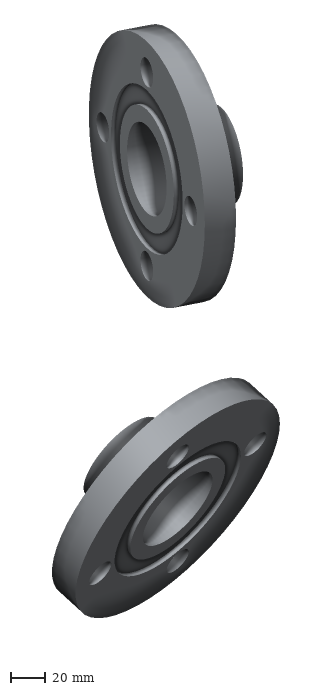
import cadquery as cq

flange_diameter = 165.0
flange_thickness = 20.0
overall_length = 48.0
bore_diameter = 56.3

neck_diameter = 60.4
neck_straight_length = 8.0
hub_base_diameter = 75.0
hub_fillet_radius = 6.0

bolt_hole_count = 4
bolt_hole_diameter = 18.0
bolt_circle_diameter = 125.0

groove_outer_diameter = 102.0
groove_inner_diameter = 76.7
groove_depth = 3.0


def make_body():
    """Revolve the solid flange and neck about the Y axis."""
    taper_end = overall_length - neck_straight_length
    profile = (
        cq.Workplane("XY")
        .lineTo(flange_diameter / 2, 0)
        .lineTo(flange_diameter / 2, flange_thickness)
        .lineTo(hub_base_diameter / 2, flange_thickness)
        .lineTo(neck_diameter / 2, taper_end)
        .lineTo(neck_diameter / 2, overall_length)
        .lineTo(0, overall_length)
        .close()
    )
    body = profile.revolve(360, (0, 0, 0), (0, 1, 0))
    hub_root = cq.selectors.RadiusNthSelector(0)
    return body.faces(">Y[-2]").edges(hub_root).fillet(hub_fillet_radius)


def face_sketch():
    """Workplane on the sealing face; negative extrusion goes toward +Y."""
    return cq.Workplane("XZ")


def make_bore():
    return face_sketch().circle(bore_diameter / 2).extrude(-overall_length)


def make_bolt_holes():
    return (
        face_sketch()
        .polarArray(bolt_circle_diameter / 2, 0, 360, bolt_hole_count)
        .circle(bolt_hole_diameter / 2)
        .extrude(-flange_thickness)
    )


def make_groove():
    return (
        face_sketch()
        .circle(groove_outer_diameter / 2)
        .circle(groove_inner_diameter / 2)
        .extrude(-groove_depth)
    )


result = make_body().cut(make_bore()).cut(make_bolt_holes()).cut(make_groove())